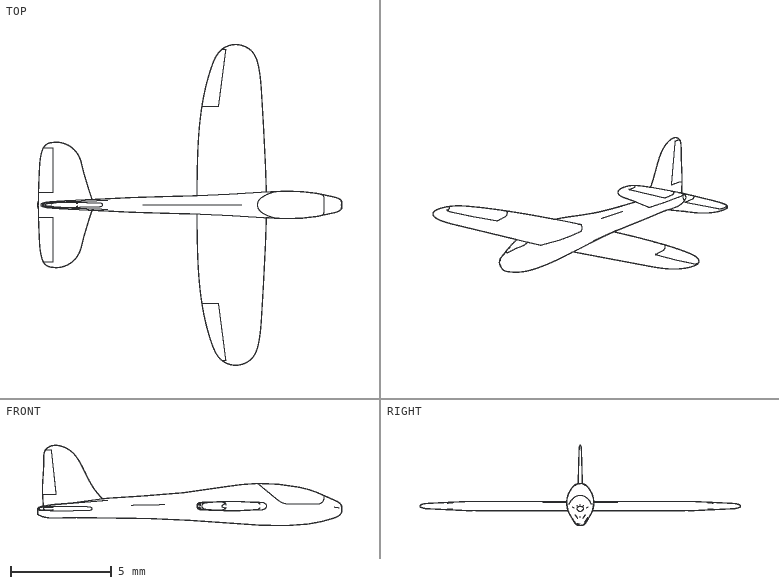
import cadquery as cq
import math


LENGTH = 15.2

FUSELAGE_STATIONS = [
    (0.0, 0.1, -0.13, -0.25, -0.42),
    (0.24, 0.15, 0.0, -0.2, -0.53),
    (1.28, 0.21, 0.16, -0.06, -0.6),
    (3.2, 0.3, 0.37, 0.02, -0.61),
    (6.09, 0.42, 0.56, 0.06, -0.64),
    (8.49, 0.48, 0.83, 0.15, -0.78),
    (11.05, 0.62, 1.14, 0.18, -0.96),
    (12.5, 0.69, 1.04, 0.15, -0.98),
    (13.78, 0.61, 0.75, 0.05, -0.87),
    (14.74, 0.42, 0.34, -0.05, -0.62),
    (15.09, 0.29, 0.15, -0.1, -0.45),
    (LENGTH, 0.16, -0.02, -0.13, -0.27),
]
SECTION_CROWN = [
    ((0, 1), (1, 0)),
    ((math.sqrt(0.5), math.sqrt(0.5)), (1, -1)),
    ((1, 0), (0, -1)),
]
SECTION_KEEL = [
    ((1, 0), (0, -1)),
    ((0.6, -0.68), (-0.7, -0.75)),
    ((0, -1), (-1, 0)),
]

CANOPY_TOP = 1.6
CANOPY_SILL = 0.1
CANOPY_REAR_CROWN = (11.0, 1.12)
CANOPY_REAR_SILL = 12.24
CANOPY_FRONT = 14.3
CANOPY_REAR_RADIUS = 0.96
CANOPY_FRONT_RADIUS = 0.32

WING_OUTLINE = [
    ((11.45, 0.0), (11.17, 0.0)),
    ((11.39, 1.92), (11.12, 1.92)),
    ((11.3, 3.85), (11.05, 3.85)),
    ((11.18, 5.77), (10.99, 5.69)),
    ((11.05, 6.85), (10.91, 6.73)),
    ((10.73, 7.64), (10.67, 7.23)),
    ((9.8, 8.01), (9.77, 7.55)),
    ((9.1, 7.67), (9.13, 7.35)),
    ((8.68, 6.89), (8.81, 6.76)),
    ((8.2, 4.92), (8.43, 4.92)),
    ((8.0, 2.56), (8.22, 2.56)),
    ((7.95, 0.0), (8.17, 0.0)),
]
WING_RIM_HALF_THICKNESS = (0.2, 0.15)
WING_CROWN = [(9.7, 0.0, 0.24), (9.7, 1.92, 0.24), (9.7, 4.0, 0.24), (9.77, 6.09, 0.22)]

STABILIZER_OUTLINE = [
    ((2.82, 0.0), (2.6, 0.0)),
    ((2.58, 0.72), (2.37, 0.72)),
    ((2.32, 1.57), (2.11, 1.57)),
    ((2.0, 2.55), (1.86, 2.52)),
    ((1.62, 2.93), (1.57, 2.82)),
    ((0.9, 3.14), (0.9, 3.0)),
    ((0.37, 2.96), (0.46, 2.87)),
    ((0.2, 2.6), (0.32, 2.55)),
    ((0.08, 1.6), (0.21, 1.6)),
    ((0.05, 0.8), (0.18, 0.8)),
    ((0.03, 0.0), (0.16, 0.0)),
]
STABILIZER_RIM_HALF_THICKNESS = (0.1, 0.06)
STABILIZER_CROWN = [(1.36, 0.0, 0.11), (1.2, 1.44, 0.11)]
STABILIZER_Z = -0.13

FIN_OUTLINE = [
    ((3.76, 0.0), (3.52, 0.0)),
    ((3.1, 0.51), (2.88, 0.58)),
    ((2.72, 1.03), (2.52, 1.09)),
    ((2.13, 2.16), (2.02, 2.15)),
    ((1.7, 2.72), (1.63, 2.63)),
    ((1.19, 3.0), (1.19, 2.77)),
    ((0.77, 3.03), (0.7, 2.82)),
    ((0.4, 2.82), (0.46, 2.7)),
    ((0.3, 2.25), (0.38, 2.25)),
    ((0.24, 0.8), (0.35, 0.8)),
    ((0.29, 0.0), (0.37, 0.0)),
]
FIN_RIM_HALF_THICKNESS = (0.1, 0.06)
FIN_CROWN = [(1.76, 0.0, 0.13), (1.28, 1.44, 0.11)]

AILERON_HINGE = ((9.04, 4.92), (9.4, 7.77))
ELEVATOR_HINGE = ((0.78, 0.62), (0.78, 2.85))
RUDDER_HINGE = ((0.93, 0.58), (0.69, 2.8))

RIM_STEPS = 4
ROOT_TOLERANCE = 0.002
CLEARANCE = 0.8


def fuselage_section(x, half_width, top, waist, bottom):
    """Closed eight-edge section: rounded crown above the waist, narrow keel below."""
    edges = []
    for side in (1, -1):
        for arc, height in ((SECTION_CROWN, top - waist), (SECTION_KEEL, waist - bottom)):
            for start, end in zip(arc, arc[1:]):
                points = []
                tangents = []
                for (y, z), (dy, dz) in (start, end):
                    points.append(cq.Vector(x, side * half_width * y, waist + height * z))
                    tangents.append(cq.Vector(0, side * half_width * dy, height * dz))
                edges.append(cq.Edge.makeSpline(points, tangents=tangents))
    return cq.Wire.assembleEdges(edges[:4] + edges[:3:-1])


def fuselage_shape():
    sections = [fuselage_section(*station) for station in FUSELAGE_STATIONS]
    return cq.Workplane(cq.Solid.makeLoft(sections))


def canopy_region():
    """Prism across the whole width that holds the canopy part of the fuselage."""
    crown_x, crown_z = CANOPY_REAR_CROWN
    rear_slope = (CANOPY_REAR_SILL - crown_x) / (crown_z - CANOPY_SILL)
    rear_top_x = crown_x - rear_slope * (CANOPY_TOP - crown_z)
    outline = [
        (rear_top_x, CANOPY_TOP),
        (CANOPY_REAR_SILL, CANOPY_SILL),
        (CANOPY_FRONT, CANOPY_SILL),
        (CANOPY_FRONT, CANOPY_TOP),
    ]
    prism = cq.Workplane("XZ").polyline(outline).close().extrude(CLEARANCE, both=True)
    rear_corner = cq.selectors.NearestToPointSelector((CANOPY_REAR_SILL, 0, CANOPY_SILL))
    front_corner = cq.selectors.NearestToPointSelector((CANOPY_FRONT, 0, CANOPY_SILL))
    prism = prism.edges(rear_corner).fillet(CANOPY_REAR_RADIUS)
    return prism.edges(front_corner).fillet(CANOPY_FRONT_RADIUS)


def half_panel(outline, rim_half_thickness, crown):
    """Panel on the XY plane from its root at Y = 0, with an elliptically rounded rim.

    The rim half thickness tapers from root to tip; the two faces swell from it to the
    crown points, the first of which lies on the root line.
    """
    root_rim, tip_rim = rim_half_thickness
    span = max(face_y for _, (_, face_y) in outline)
    rims = []
    for step in range(RIM_STEPS + 1):
        angle = math.pi * (step / RIM_STEPS - 0.5)
        inset = 1 - math.cos(angle)
        points = []
        for (rim_x, rim_y), (face_x, face_y) in outline:
            x = rim_x + inset * (face_x - rim_x)
            y = rim_y + inset * (face_y - rim_y)
            half_thickness = root_rim + (tip_rim - root_rim) * face_y / span
            points.append(cq.Vector(x, y, half_thickness * math.sin(angle)))
        rims.append(cq.Edge.makeSpline(points))
    rim_face = cq.occ_impl.shapes.loft(*rims).Faces()[0]
    root_edges = [edge for edge in rim_face.Edges() if edge.BoundingBox().ymax < ROOT_TOLERANCE]
    lower_rim, upper_rim = sorted(
        [edge for edge in rim_face.Edges() if edge.BoundingBox().ymax > ROOT_TOLERANCE],
        key=lambda edge: edge.Center().z,
    )

    faces = [rim_face]
    for side, rim in ((-1, lower_rim), (1, upper_rim)):
        swell = [cq.Vector(x, y, side * z) for x, y, z in crown]
        root_arc = cq.Edge.makeThreePointArc(rim.endPoint(), swell[0], rim.startPoint())
        root_edges.append(root_arc)
        faces.append(cq.Face.makeNSidedSurface([rim, root_arc], swell[1:]))
    faces.append(cq.Face.makeFromWires(cq.Wire.assembleEdges(root_edges)))
    return cq.Workplane(cq.occ_impl.shapes.solid(*faces))


def full_panel(outline, rim_half_thickness, crown):
    half = half_panel(outline, rim_half_thickness, crown)
    return half.union(half.mirror("XZ"))


def control_region(hinge, side=1):
    """Block behind a hinge line, bounded at the hinge's two ends."""
    (root_x, root_y), (tip_x, tip_y) = hinge
    aft_x = -CLEARANCE
    outline = [
        (aft_x, side * root_y),
        (root_x, side * root_y),
        (tip_x, side * tip_y),
        (aft_x, side * tip_y),
    ]
    return cq.Workplane("XY").polyline(outline).close().extrude(CLEARANCE, both=True)


def split_controls(panel, regions):
    """Return the fixed panel and the list of control surfaces taken out of it."""
    controls = [panel.intersect(region) for region in regions]
    for region in regions:
        panel = panel.cut(region)
    return panel, controls


def upright(shape):
    """Turn a panel from the XY plane up into the XZ plane."""
    return shape.rotate((0, 0, 0), (1, 0, 0), 90)


whole_wing = full_panel(WING_OUTLINE, WING_RIM_HALF_THICKNESS, WING_CROWN)
aileron_regions = [control_region(AILERON_HINGE, side) for side in (1, -1)]
wing, ailerons = split_controls(whole_wing, aileron_regions)

whole_stabilizer = full_panel(
    STABILIZER_OUTLINE, STABILIZER_RIM_HALF_THICKNESS, STABILIZER_CROWN
)
elevator_regions = [control_region(ELEVATOR_HINGE, side) for side in (1, -1)]
stabilizer, elevators = split_controls(whole_stabilizer, elevator_regions)
stabilizer = stabilizer.translate((0, 0, STABILIZER_Z))
elevators = [elevator.translate((0, 0, STABILIZER_Z)) for elevator in elevators]

hull = fuselage_shape()
canopy = hull.intersect(canopy_region())
fuselage = hull.cut(canopy_region()).cut(whole_wing).cut(stabilizer)

whole_fin = half_panel(FIN_OUTLINE, FIN_RIM_HALF_THICKNESS, FIN_CROWN)
fin, rudders = split_controls(whole_fin, [control_region(RUDDER_HINGE)])
fin = upright(fin).cut(hull).cut(stabilizer)
rudder = upright(rudders[0])

bodies = [fuselage, canopy, wing, *ailerons, stabilizer, *elevators, fin, rudder]
result = cq.Compound.makeCompound([body.solids().val() for body in bodies])